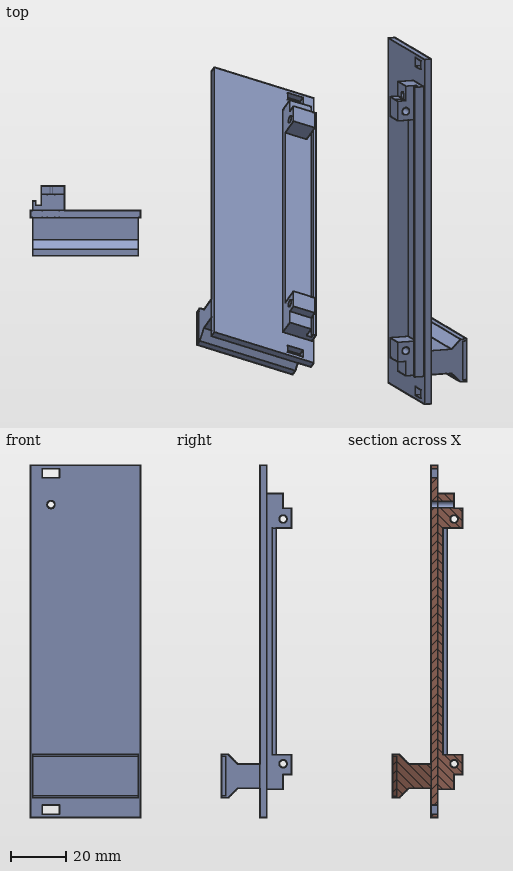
import cadquery as cq

PANEL_WIDTH = 40.0
PANEL_THICKNESS = 2.5
PANEL_HEIGHT = 128.0
EDGE_INSET = 0.8

SLOT_LEFT = 4.4
SLOT_WIDTH = 6.1
SLOT_HEIGHT = 3.2
SLOT_END_DISTANCE = 3.0

HOLE_DIAMETER = 2.7
SCREW_HOLE_X = 7.4
SCREW_HOLE_Z = PANEL_HEIGHT - 14.3

HANDLE_WIDTH = PANEL_WIDTH - 2 * EDGE_INSET
HANDLE_DEPTH = 14.0
HANDLE_CENTRE_Z = 15.1
STEM_HEIGHT = 9.0
STEM_DEPTH = 8.0
GRIP_HEIGHT = 15.9
FLARE = (GRIP_HEIGHT - STEM_HEIGHT) / 2

LABEL_THICKNESS = 1.5
LABEL_BORDER = 0.8
LABEL_HEIGHT = GRIP_HEIGHT - 2 * LABEL_BORDER

BRACKET_END_DISTANCE = 10.2
BRACKET_HEIGHT = PANEL_HEIGHT - 2 * BRACKET_END_DISTANCE
BRACKET_WIDTH = 11.6
RAIL_DEPTH = 1.9
LIP_WIDTH = 1.2
LIP_DEPTH = 3.5
BLOCK_WIDTH = 8.6
BLOCK_HEIGHT = 12.7
BLOCK_DEPTH = 5.9
TAB_HEIGHT = 7.3
TAB_DEPTH = 9.0
TAB_HOLE_DEPTH = 5.9
TAB_HOLE_END_DISTANCE = 9.3


def box(x, y, z, width, depth, height):
    """Box with its lowest corner at (x, y, z)."""
    return cq.Workplane("XY").box(width, depth, height, centered=False).translate((x, y, z))


def screw_hole():
    """Cutter along Y through the panel and the bracket's upper block."""
    length = PANEL_THICKNESS + TAB_DEPTH
    return (
        cq.Workplane("XZ")
        .center(SCREW_HOLE_X, SCREW_HOLE_Z)
        .circle(HOLE_DIAMETER / 2)
        .extrude(-length)
    )


def make_panel():
    panel = box(0, 0, 0, PANEL_WIDTH, PANEL_THICKNESS, PANEL_HEIGHT)
    for slot_centre_z in (SLOT_END_DISTANCE, PANEL_HEIGHT - SLOT_END_DISTANCE):
        slot_bottom = slot_centre_z - SLOT_HEIGHT / 2
        panel = panel.cut(box(SLOT_LEFT, 0, slot_bottom, SLOT_WIDTH, PANEL_THICKNESS, SLOT_HEIGHT))
    return panel.cut(screw_hole())


def make_label():
    label_bottom = HANDLE_CENTRE_Z - LABEL_HEIGHT / 2
    return box(EDGE_INSET, -HANDLE_DEPTH, label_bottom, HANDLE_WIDTH, LABEL_THICKNESS, LABEL_HEIGHT)


def make_handle():
    half_stem = STEM_HEIGHT / 2
    half_grip = GRIP_HEIGHT / 2
    flare_end = STEM_DEPTH + FLARE
    handle = (
        cq.Workplane("YZ", origin=(EDGE_INSET, 0, HANDLE_CENTRE_Z))
        .moveTo(0, -half_stem)
        .lineTo(-STEM_DEPTH, -half_stem)
        .lineTo(-flare_end, -half_grip)
        .lineTo(-HANDLE_DEPTH, -half_grip)
        .lineTo(-HANDLE_DEPTH, half_grip)
        .lineTo(-flare_end, half_grip)
        .lineTo(-STEM_DEPTH, half_stem)
        .lineTo(0, half_stem)
        .close()
        .extrude(HANDLE_WIDTH)
    )
    return handle.cut(make_label())


def make_lower_block():
    """Block and tab at the lower end of the bracket."""
    block_left = EDGE_INSET + BRACKET_WIDTH - BLOCK_WIDTH
    bottom = BRACKET_END_DISTANCE
    tab_bottom = bottom + BLOCK_HEIGHT - TAB_HEIGHT
    block = box(block_left, PANEL_THICKNESS, bottom, BLOCK_WIDTH, BLOCK_DEPTH, BLOCK_HEIGHT)
    tab = box(block_left, PANEL_THICKNESS, tab_bottom, BLOCK_WIDTH, TAB_DEPTH, TAB_HEIGHT)
    hole = (
        cq.Workplane("YZ", origin=(block_left, 0, 0))
        .center(PANEL_THICKNESS + TAB_HOLE_DEPTH, bottom + TAB_HOLE_END_DISTANCE)
        .circle(HOLE_DIAMETER / 2)
        .extrude(BLOCK_WIDTH)
    )
    return block.union(tab).cut(hole)


def make_bracket():
    bottom = BRACKET_END_DISTANCE
    rail = box(EDGE_INSET, PANEL_THICKNESS, bottom, BRACKET_WIDTH, RAIL_DEPTH, BRACKET_HEIGHT)
    lip = box(EDGE_INSET, PANEL_THICKNESS, bottom, LIP_WIDTH, LIP_DEPTH, BRACKET_HEIGHT)
    lower_block = make_lower_block()
    upper_block = lower_block.mirror("XY", (0, 0, PANEL_HEIGHT / 2))
    bracket = rail.union(lip).union(lower_block).union(upper_block)
    return bracket.cut(screw_hole())


panel = make_panel()
handle = make_handle()
label = make_label()
bracket = make_bracket()

result = cq.Compound.makeCompound([panel.val(), handle.val(), label.val(), bracket.val()])